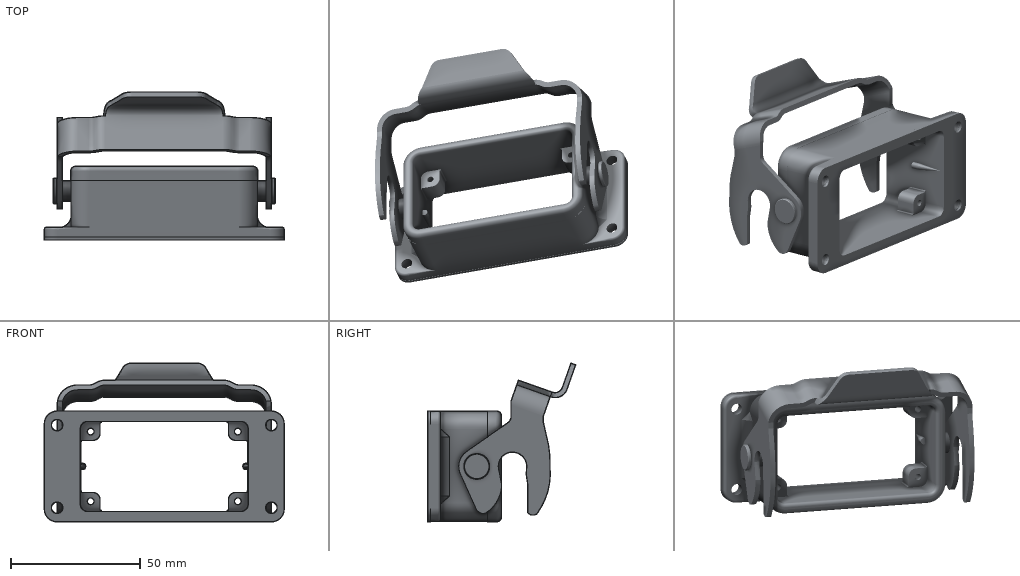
import cadquery as cq
import math

FLANGE_WIDTH = 93.0
HEIGHT = 43.0
FLANGE_THICKNESS = 5.0
FLANGE_CORNER_RADIUS = 5.0
FLANGE_EDGE_FILLET = 1.0
FACE_LAND = 1.1
RELIEF = 0.1

BODY_WIDTH = 72.6
BODY_CORNER_RADIUS = 7.0
BODY_DEPTH = 28.6
RIM_DEPTH = 5.5
RIM_CORNER_RADIUS = 7.5
RIM_EDGE_FILLET = 2.0

MOUTH_WIDTH = 65.2
CAVITY_BACK_WIDTH = 64.4
MOUTH_HEIGHT = 35.0
CAVITY_BACK_HEIGHT = 34.8
CAVITY_CORNER_RADIUS = 3.0
CAVITY_TAPER_END_Y = BODY_DEPTH - RIM_DEPTH
CAVITY_BACK_FILLET = 1.4

MOUNT_HOLE_MOUTH_DIAMETER = 4.5
MOUNT_HOLE_DIAMETER = 4.3
MOUNT_HOLE_X = 41.5
MOUNT_HOLE_Z = 16.0

GUSSET_SIZE = 3.4
GUSSET_ARC_RADIUS = 5.0
GUSSET_RUNOUT = 3.0
GUSSET_HALF_LENGTH = HEIGHT / 2 - BODY_CORNER_RADIUS
RUNOUT_SCALE = 0.01

PAD_INNER_X = 24.8
PAD_INNER_Z = 10.0
PAD_CORNER_RADIUS = 3.0
PAD_FLARE = 0.6
PAD_OVERLAP = 1.0
PAD_FRONT_Y = 8.8
PAD_LENGTH = 7.7
PAD_HOLE_DIAMETER = 2.5
PAD_HOLE_X = 28.5
PAD_HOLE_Z = 13.5

LUG_RADIUS = 1.25
LUG_CENTRE_X = 31.65
LUG_TIP_Y = 2.0
LUG_TIP_X = 32.5
LUG_TIP_RADIUS = 0.1
LUG_CONE_LENGTH = 9.4
LUG_PIN_LENGTH = 2.8

SHEET = 2.0
LEVER_HALF_WIDTH = 41.5
PIVOT_Y = 19.0
PIVOT_DIAMETER = 8.0
RIVET_HEAD_DIAMETER = 10.0
RIVET_HEAD_HEIGHT = 1.5
RIVET_HEAD_CHAMFER = 0.25
RIVET_OVERLAP = 1.0

TILT = math.radians(19.4)
BAND_TOP = 43.2
BAND_FRONT = 22.0
BAND_BACK = 35.8
SHOULDER_DROP = 1.95
SHOULDER_RADIUS = 8.0
CREST_HALF_WIDTH = 23.0
STEP_START_X = 29.1
STEP_ANGLE = math.radians(28)
STEP_FOOT_RADIUS = 4.0
STEP_CREST_RADIUS = 6.0

TAB_BEND_RADIUS = 3.0
TAB_BEND_START = 36.0
TAB_TIP = 56.2
TAB_ROOT_HALF_WIDTH = 23.5
TAB_FLARE_MID_X = 22.6
TAB_FLARE_MID_UP = 43.4
TAB_BEND_HALF_WIDTH = 20.6
TAB_TIP_HALF_WIDTH = 15.0
TAB_CORNER_RADIUS = 4.0


def box_along_y(width, height, radius, start_y, depth):
    """Rounded rectangular block running towards +Y, centred on the Y axis."""
    block = cq.Workplane("XZ", origin=(0, start_y, 0)).rect(width, height).extrude(-depth)
    return block.edges("|Y").fillet(radius)


def cylinder_along_y(x, z, diameter, start_y, depth):
    return cq.Workplane("XZ", origin=(x, start_y, z)).circle(diameter / 2).extrude(-depth)


def both_sides(shape):
    """The shape together with its mirror image about the YZ plane."""
    return shape.union(shape.mirror("YZ"))


def four_corners(shape):
    pair = both_sides(shape)
    return pair.union(pair.mirror("XY"))


def cove_outline(plane, size, arc_radius):
    """Corner filler with equal legs and a concave face; local origin in the corner."""
    return plane.lineTo(size, 0).radiusArc((0, size), arc_radius).close()


def cove_runout(plane, size, arc_radius, length):
    """Cove that shrinks to nothing over the given length."""
    full = cove_outline(plane, size, arc_radius)
    end = full.workplane(offset=length)
    return cove_outline(end, size * RUNOUT_SCALE, arc_radius * RUNOUT_SCALE).loft(ruled=True)


def make_gusset():
    """Concave web between body end and flange, running out to nothing at both ends."""
    corner_x = BODY_WIDTH / 2 - RELIEF
    straight_half = GUSSET_HALF_LENGTH - GUSSET_RUNOUT
    start = cq.Workplane("XY", origin=(corner_x, FLANGE_THICKNESS, 0))
    web = cove_outline(start, GUSSET_SIZE, GUSSET_ARC_RADIUS).extrude(straight_half)
    runout_plane = start.workplane(offset=straight_half)
    runout = cove_runout(runout_plane, GUSSET_SIZE, GUSSET_ARC_RADIUS, GUSSET_RUNOUT)
    half = web.union(runout)
    return half.union(half.mirror("XY"))


def make_flange_edge_cut():
    """Waste of the round on a long back edge, growing from the body to the flange corner."""
    corner = FLANGE_WIDTH / 2 - FLANGE_CORNER_RADIUS
    run = corner - (BODY_WIDTH / 2 - BODY_CORNER_RADIUS)
    top = HEIGHT / 2 - RELIEF
    plane = cq.Workplane("ZY", origin=(corner, FLANGE_THICKNESS, top)).transformed(rotate=(0, 0, 180))
    return cove_runout(plane, FLANGE_EDGE_FILLET, FLANGE_EDGE_FILLET, run)


def make_flange():
    land = box_along_y(FLANGE_WIDTH, HEIGHT, FLANGE_CORNER_RADIUS, 0, FACE_LAND)
    height = HEIGHT - 2 * RELIEF
    plate = box_along_y(FLANGE_WIDTH, height, FLANGE_CORNER_RADIUS, 0, FLANGE_THICKNESS)
    rounded = plate.faces(">Y").edges().fillet(FLANGE_EDGE_FILLET)
    centre_width = FLANGE_WIDTH - 2 * FLANGE_CORNER_RADIUS
    centre = cq.Workplane("XZ").rect(centre_width, height).extrude(-FLANGE_THICKNESS)
    centre = centre.cut(four_corners(make_flange_edge_cut()))
    return land.union(rounded).union(centre)


def make_cavity():
    """Straight mouth, slightly tapered passage and a back opening with a rounded edge."""
    mouth = box_along_y(MOUTH_WIDTH, MOUTH_HEIGHT, CAVITY_CORNER_RADIUS, 0, FACE_LAND)
    taper_start = cq.Sketch().rect(MOUTH_WIDTH, MOUTH_HEIGHT)
    taper_start = taper_start.vertices().fillet(CAVITY_CORNER_RADIUS)
    taper_end = cq.Sketch().rect(CAVITY_BACK_WIDTH, CAVITY_BACK_HEIGHT)
    taper_end = taper_end.vertices().fillet(CAVITY_CORNER_RADIUS)
    to_taper_end = cq.Location(cq.Vector(0, 0, FACE_LAND - CAVITY_TAPER_END_Y))
    passage = (
        cq.Workplane("XZ", origin=(0, FACE_LAND, 0))
        .placeSketch(taper_start, taper_end.moved(to_taper_end))
        .loft()
    )
    back = box_along_y(
        CAVITY_BACK_WIDTH, CAVITY_BACK_HEIGHT, CAVITY_CORNER_RADIUS, CAVITY_TAPER_END_Y, RIM_DEPTH
    )
    return mouth.union(passage).union(back)


def make_pad():
    """Corner pad for a screw, flared slightly where it meets the cavity walls."""
    wall_x = MOUTH_WIDTH / 2
    wall_z = MOUTH_HEIGHT / 2
    inner_x = PAD_INNER_X
    inner_z = PAD_INNER_Z
    outer_x = wall_x + PAD_OVERLAP
    outer_z = wall_z + PAD_OVERLAP
    return (
        cq.Workplane("XZ", origin=(0, PAD_FRONT_Y, 0))
        .moveTo(outer_x, outer_z)
        .lineTo(outer_x, inner_z - PAD_FLARE)
        .lineTo(wall_x, inner_z - PAD_FLARE)
        .radiusArc((wall_x - PAD_FLARE, inner_z), PAD_FLARE)
        .lineTo(inner_x + PAD_CORNER_RADIUS, inner_z)
        .radiusArc((inner_x, inner_z + PAD_CORNER_RADIUS), PAD_CORNER_RADIUS)
        .lineTo(inner_x, wall_z - PAD_FLARE)
        .radiusArc((inner_x - PAD_FLARE, wall_z), PAD_FLARE)
        .lineTo(inner_x - PAD_FLARE, outer_z)
        .close()
        .extrude(-PAD_LENGTH)
    )


def make_lug():
    """Half-embedded pin on the cavity end wall with a long taper towards the mouth."""
    cone_back_y = LUG_TIP_Y + LUG_CONE_LENGTH
    taper = (
        cq.Workplane("XZ", origin=(0, LUG_TIP_Y, 0))
        .center(LUG_TIP_X, 0)
        .circle(LUG_TIP_RADIUS)
        .workplane(offset=-LUG_CONE_LENGTH)
        .center(LUG_CENTRE_X - LUG_TIP_X, 0)
        .circle(LUG_RADIUS)
        .loft(ruled=True)
    )
    pin = cylinder_along_y(LUG_CENTRE_X, 0, 2 * LUG_RADIUS, cone_back_y, LUG_PIN_LENGTH)
    return taper.union(pin)


def make_shell():
    """Flange, body and rim, opened by the cavity."""
    rim_start = BODY_DEPTH - RIM_DEPTH
    body = box_along_y(BODY_WIDTH - 2 * RELIEF, HEIGHT - 2 * RELIEF, BODY_CORNER_RADIUS, 0, rim_start)
    rim = box_along_y(BODY_WIDTH, HEIGHT, RIM_CORNER_RADIUS, rim_start, RIM_DEPTH)
    rim = rim.faces(">Y").edges().fillet(RIM_EDGE_FILLET)
    gussets = both_sides(make_gusset())
    shell = make_flange().union(body).union(rim).union(gussets).cut(make_cavity())
    return shell.faces(">Y").wires(cq.selectors.LengthNthSelector(0)).edges().fillet(CAVITY_BACK_FILLET)


def make_mount_hole():
    mouth = cylinder_along_y(MOUNT_HOLE_X, MOUNT_HOLE_Z, MOUNT_HOLE_MOUTH_DIAMETER, 0, FACE_LAND)
    bore = cylinder_along_y(MOUNT_HOLE_X, MOUNT_HOLE_Z, MOUNT_HOLE_DIAMETER, 0, FLANGE_THICKNESS)
    return mouth.union(bore)


def make_housing():
    pad_hole = cylinder_along_y(PAD_HOLE_X, PAD_HOLE_Z, PAD_HOLE_DIAMETER, PAD_FRONT_Y, PAD_LENGTH)
    return (
        make_shell()
        .union(four_corners(make_pad()))
        .union(both_sides(make_lug()))
        .cut(four_corners(make_mount_hole()))
        .cut(four_corners(pad_hole))
    )


def tilted(along, up):
    """(Y, Z) of a point given in the tilted frame of the band."""
    return (
        along * math.cos(TILT) + up * math.sin(TILT),
        up * math.cos(TILT) - along * math.sin(TILT),
    )


def polar(centre, radius, angle):
    return (centre[0] + radius * math.cos(angle), centre[1] + radius * math.sin(angle))


def tilted_prism(outline, length):
    """Extrude an (X, up) outline along the band direction, starting at the origin."""
    plane = cq.Plane(
        origin=(0, 0, 0),
        xDir=(1, 0, 0),
        normal=(0, -math.cos(TILT), math.sin(TILT)),
    )
    return outline(cq.Workplane(plane)).close().extrude(-length)


def strip_half(inset):
    """Right half of the bent strip, offset inwards by inset, as named (X, up) points."""
    foot = STEP_FOOT_RADIUS + inset
    crest = STEP_CREST_RADIUS - inset
    bend = SHOULDER_RADIUS - inset
    shoulder_up = BAND_TOP - SHOULDER_DROP - inset
    cheek_x = LEVER_HALF_WIDTH - inset
    bend_centre = (LEVER_HALF_WIDTH - SHOULDER_RADIUS, shoulder_up - bend)
    square = math.pi / 2
    foot_centre = (STEP_START_X, shoulder_up + foot)
    crest_centre = (CREST_HALF_WIDTH, BAND_TOP - inset - crest)
    return {
        "crest": (CREST_HALF_WIDTH, BAND_TOP - inset),
        "crest_mid": polar(crest_centre, crest, square - STEP_ANGLE / 2),
        "crest_end": polar(crest_centre, crest, square - STEP_ANGLE),
        "foot_start": polar(foot_centre, foot, -square - STEP_ANGLE),
        "foot_mid": polar(foot_centre, foot, -square - STEP_ANGLE / 2),
        "foot": (STEP_START_X, shoulder_up),
        "bend_start": (bend_centre[0], shoulder_up),
        "bend_mid": polar(bend_centre, bend, square / 2),
        "bend_end": (cheek_x, bend_centre[1]),
        "cheek_end": (cheek_x, -BAND_TOP),
    }


def strip_outline(plane):
    """Right half of the bent strip, from the mid plane out to the foot of the cheek."""
    top = strip_half(0)
    under = strip_half(SHEET)
    return (
        plane.moveTo(0, BAND_TOP)
        .lineTo(*top["crest"])
        .threePointArc(top["crest_mid"], top["crest_end"])
        .lineTo(*top["foot_start"])
        .threePointArc(top["foot_mid"], top["foot"])
        .lineTo(*top["bend_start"])
        .threePointArc(top["bend_mid"], top["bend_end"])
        .lineTo(*top["cheek_end"])
        .lineTo(*under["cheek_end"])
        .lineTo(*under["bend_end"])
        .threePointArc(under["bend_mid"], under["bend_start"])
        .lineTo(*under["foot"])
        .threePointArc(under["foot_mid"], under["foot_start"])
        .lineTo(*under["crest_end"])
        .threePointArc(under["crest_mid"], under["crest"])
        .lineTo(0, BAND_TOP - SHEET)
    )


def make_side_blank():
    """Side outline of the lever in the YZ plane, spanning the full lever width."""
    pivot = (PIVOT_Y, 0)
    pivot_end_radius = 7.0
    arm_angle = math.radians(35)
    neck_y = 32.25
    neck_fillet = 3.0
    toe = (21.45, -15.2)
    toe_radius = 3.0
    toe_back_angle = math.radians(-48)
    hook = (32.8, 0)
    hook_radius = 5.5

    toe_distance = math.hypot(toe[0] - pivot[0], toe[1] - pivot[1])
    toe_direction = math.atan2(toe[1] - pivot[1], toe[0] - pivot[0])
    front_normal = toe_direction - math.acos((pivot_end_radius - toe_radius) / toe_distance)

    arm_normal = arm_angle + math.pi / 2
    arm_start = polar(pivot, pivot_end_radius, arm_normal)
    pivot_front = polar(pivot, pivot_end_radius, math.pi)
    neck_z = arm_start[1] + (neck_y - arm_start[0]) * math.tan(arm_angle)
    neck_setback = neck_fillet * math.tan((math.pi / 2 - arm_angle) / 2)
    neck_below = polar((neck_y, neck_z), neck_setback, arm_angle + math.pi)
    neck_centre = (neck_y - neck_fillet, neck_z + neck_setback)
    neck_mid = polar(neck_centre, neck_fillet, (arm_angle - math.pi / 2) / 2)

    neck_top_up = (neck_y - BAND_FRONT * math.cos(TILT)) / math.sin(TILT)
    toe_back = polar(toe, toe_radius, toe_back_angle)
    cheek_back_top = tilted(BAND_BACK, BAND_TOP - SHOULDER_DROP - SHOULDER_RADIUS)
    outline = (
        cq.Workplane("YZ", origin=(-LEVER_HALF_WIDTH, 0, 0))
        .moveTo(*tilted(BAND_FRONT, BAND_TOP))
        .lineTo(*tilted(BAND_FRONT, neck_top_up))
        .lineTo(neck_y, neck_centre[1])
        .threePointArc(neck_mid, neck_below)
        .lineTo(*arm_start)
        .threePointArc(pivot_front, polar(pivot, pivot_end_radius, front_normal))
        .lineTo(*polar(toe, toe_radius, front_normal))
        .threePointArc(polar(toe, toe_radius, -math.pi / 2), toe_back)
        .threePointArc((26.9, -13.4), (28.6, -7.0))
        .lineTo(27.5, -1.3)
        .lineTo(hook[0] - hook_radius, hook[1])
        .threePointArc((hook[0], hook_radius), (hook[0] + hook_radius, hook[1]))
        .lineTo(38.1, -3.0)
        .lineTo(38.7, -7.0)
        .lineTo(38.7, -17.9)
        .threePointArc((40.7, -18.9), (42.3, -18.4))
        .threePointArc((45.8, -12.0), (47.4, 0))
        .threePointArc((47.05, 7.0), (45.9, 12.4))
        .lineTo(44.8, 17.2)
        .lineTo(*cheek_back_top)
        .lineTo(*tilted(BAND_BACK, BAND_TOP))
        .close()
    )
    return outline.extrude(2 * LEVER_HALF_WIDTH)


def tab_outline(plane):
    """Full tab outline: flared root, sloping sides and rounded tip corners."""
    bend_end_up = BAND_TOP + TAB_BEND_RADIUS
    slope = math.atan2(TAB_TIP - bend_end_up, TAB_BEND_HALF_WIDTH - TAB_TIP_HALF_WIDTH)
    setback = TAB_CORNER_RADIUS * math.tan(slope / 2)
    corner = (TAB_TIP_HALF_WIDTH, TAB_TIP)
    corner_start = polar(corner, setback, -slope)
    corner_end_x = TAB_TIP_HALF_WIDTH - setback
    corner_centre = (corner_end_x, TAB_TIP - TAB_CORNER_RADIUS)
    corner_mid = polar(corner_centre, TAB_CORNER_RADIUS, (math.pi - slope) / 2)
    flare_mid = (TAB_FLARE_MID_X, TAB_FLARE_MID_UP)
    root_up = BAND_TOP - SHEET

    def left(point):
        return (-point[0], point[1])

    return (
        plane.moveTo(-TAB_ROOT_HALF_WIDTH, root_up)
        .lineTo(TAB_ROOT_HALF_WIDTH, root_up)
        .threePointArc(flare_mid, (TAB_BEND_HALF_WIDTH, bend_end_up))
        .lineTo(*corner_start)
        .threePointArc(corner_mid, (corner_end_x, TAB_TIP))
        .lineTo(-corner_end_x, TAB_TIP)
        .threePointArc(left(corner_mid), left(corner_start))
        .lineTo(-TAB_BEND_HALF_WIDTH, bend_end_up)
        .threePointArc(left(flare_mid), (-TAB_ROOT_HALF_WIDTH, root_up))
    )


def make_tab():
    """Thumb tab bent up at a right angle from the back of the band."""
    centre = (TAB_BEND_START, BAND_TOP + TAB_BEND_RADIUS)
    outside = TAB_BEND_RADIUS + SHEET
    half_bend = -math.pi / 4
    profile = (
        cq.Workplane("YZ", origin=(-TAB_ROOT_HALF_WIDTH, 0, 0))
        .moveTo(*tilted(BAND_BACK - SHEET, BAND_TOP))
        .lineTo(*tilted(TAB_BEND_START, BAND_TOP))
        .threePointArc(
            tilted(*polar(centre, TAB_BEND_RADIUS, half_bend)),
            tilted(*polar(centre, TAB_BEND_RADIUS, 0)),
        )
        .lineTo(*tilted(centre[0] + TAB_BEND_RADIUS, TAB_TIP))
        .lineTo(*tilted(centre[0] + outside, TAB_TIP))
        .lineTo(*tilted(centre[0] + outside, centre[1]))
        .threePointArc(
            tilted(*polar(centre, outside, half_bend)),
            tilted(TAB_BEND_START, BAND_TOP - SHEET),
        )
        .lineTo(*tilted(BAND_BACK - SHEET, BAND_TOP - SHEET))
        .close()
        .extrude(2 * TAB_ROOT_HALF_WIDTH)
    )
    return profile.intersect(tilted_prism(tab_outline, BAND_TOP))


def make_rivet():
    """Pivot pin from the body end through the cheek, with a flat head outside."""
    pin_start = BODY_WIDTH / 2 - RIVET_OVERLAP
    pin = (
        cq.Workplane("YZ", origin=(pin_start, 0, 0))
        .center(PIVOT_Y, 0)
        .circle(PIVOT_DIAMETER / 2)
        .extrude(LEVER_HALF_WIDTH - pin_start)
    )
    head = (
        cq.Workplane("YZ", origin=(LEVER_HALF_WIDTH, 0, 0))
        .center(PIVOT_Y, 0)
        .circle(RIVET_HEAD_DIAMETER / 2)
        .extrude(RIVET_HEAD_HEIGHT)
        .edges()
        .chamfer(RIVET_HEAD_CHAMFER)
    )
    return pin.union(head)


def make_lever():
    strip = both_sides(tilted_prism(strip_outline, 2 * BAND_BACK))
    return strip.intersect(make_side_blank()).union(make_tab())


result = make_housing().union(make_lever()).union(both_sides(make_rivet()))